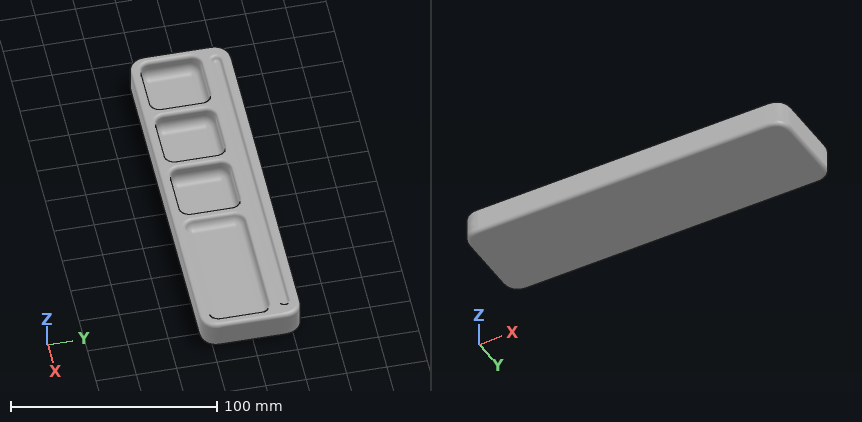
import cadquery as cq

LENGTH = 180.0
WIDTH = LENGTH * 5 / 18
HEIGHT = LENGTH / 12
CORNER_SIZE = WIDTH / 5
CORNER_STEPS = 3
EDGE_RADIUS = WIDTH / 25

CELL = WIDTH * 3 / 5
MARGIN = WIDTH / 10
PITCH = CELL + MARGIN
SQUARE_CELLS = 3
CELL_RADIUS = CORNER_SIZE / 2
SQUARE_DEPTH = WIDTH / 5
LONG_DEPTH = CELL_RADIUS
LONG_CELL = LENGTH - SQUARE_CELLS * PITCH - 2 * MARGIN
CELL_Y = MARGIN + CELL / 2 - WIDTH / 2

GROOVE_RADIUS = WIDTH / 20
GROOVE_SPAN = LENGTH - 2 * CORNER_SIZE
GROOVE_Y = WIDTH / 2 - 3 * GROOVE_RADIUS


def tray_blank():
    """Block whose upright corners blend into the sides without a jump in curvature."""
    half_x = LENGTH / 2
    half_y = WIDTH / 2
    step = CORNER_SIZE / CORNER_STEPS
    outline = cq.Workplane("XY").moveTo(CORNER_SIZE - half_x, -half_y)
    for side_x, side_y, into, out in (
        (1, -1, (1, 0), (0, 1)),
        (1, 1, (0, 1), (-1, 0)),
        (-1, 1, (-1, 0), (0, -1)),
        (-1, -1, (0, -1), (1, 0)),
    ):
        corner_x = side_x * half_x
        corner_y = side_y * half_y
        approach = [
            (corner_x - into[0] * step * count, corner_y - into[1] * step * count)
            for count in range(CORNER_STEPS, 0, -1)
        ]
        departure = [
            (corner_x + out[0] * step * count, corner_y + out[1] * step * count)
            for count in range(1, CORNER_STEPS + 1)
        ]
        outline = outline.lineTo(*approach[0]).bezier(approach + departure)
    return outline.close().extrude(HEIGHT)


def cell_cutter(x, length, depth):
    """Compartment whose upright corners and floor edges share one radius; it reaches above the tray."""
    cutter = cq.Workplane("XY").box(length, CELL, HEIGHT, centered=(True, True, False))
    cutter = cutter.edges("|Z").fillet(CELL_RADIUS)
    cutter = cutter.faces("<Z").edges().fillet(CELL_RADIUS)
    return cutter.translate((x, CELL_Y, HEIGHT - depth))


def groove_cutter():
    """Round bar with ball ends, its axis in the top face."""
    start_x = -GROOVE_SPAN / 2
    bar = cq.Workplane("YZ", origin=(start_x, 0, 0)).circle(GROOVE_RADIUS).extrude(GROOVE_SPAN)
    for end_x in (start_x, -start_x):
        bar = bar.union(cq.Workplane("XY").sphere(GROOVE_RADIUS).translate((end_x, 0, 0)))
    return bar.translate((0, GROOVE_Y, HEIGHT))


tray = tray_blank()
for index in range(SQUARE_CELLS):
    square_x = MARGIN + CELL / 2 + index * PITCH - LENGTH / 2
    tray = tray.cut(cell_cutter(square_x, CELL, SQUARE_DEPTH))

long_x = LENGTH / 2 - MARGIN - LONG_CELL / 2
tray = tray.cut(cell_cutter(long_x, LONG_CELL, LONG_DEPTH))
tray = tray.cut(groove_cutter())

result = tray.faces("<Z or >Z").edges().fillet(EDGE_RADIUS)